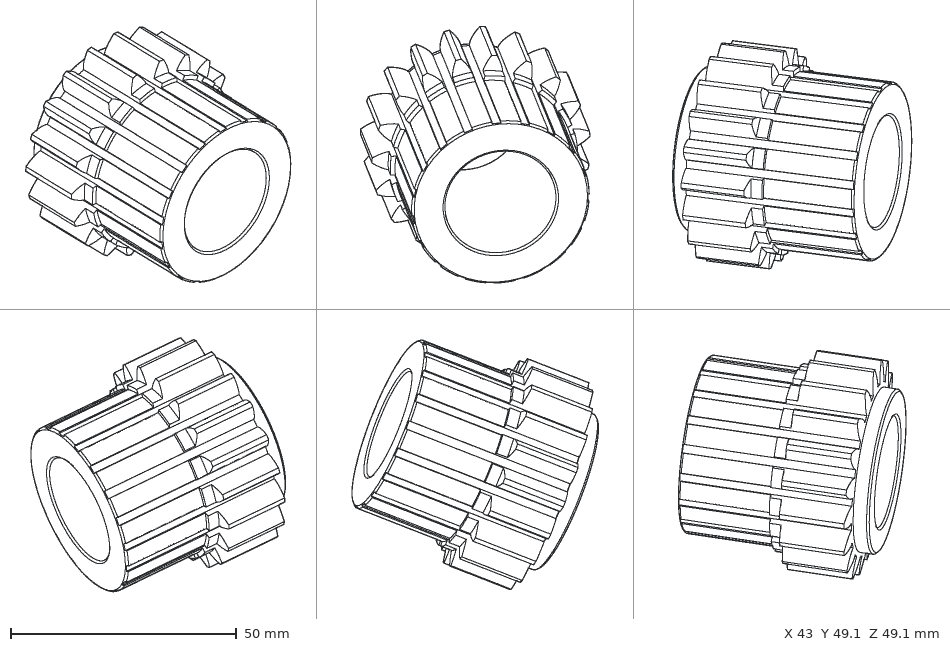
import cadquery as cq
import math

LENGTH = 43.0
FLANGE_WIDTH = 3.55
TOOTH_REAR_X = 18.95
COLLAR_REAR_X = 22.0
EDGE_CHAMFER = 0.5
CONE_ANGLE = 7.0

BORE_RADIUS = 25.0 / 2
FLANGE_RADIUS = 37.0 / 2
HUB_RADIUS = 20.0
COLLAR_RADIUS = 21.05

TOOTH_COUNT = 19
ROOT_RADIUS = 19.7
BASE_RADIUS = 20.1
FACET_END_RADIUS = 24.45
TIP_RADIUS = 24.6
BASE_HALF_ANGLE = 6.7
FIRST_TOOTH_ANGLE = 7.4
FLANK_FACETS = 8


def polar(radius, angle):
    """Point in the YZ plane; the angle is in radians from +Y towards +Z."""
    return radius * math.cos(angle), radius * math.sin(angle)


def roll_angle(radius):
    """Angle unrolled from the base circle to reach a radius on the involute; zero below that circle."""
    return math.sqrt(max((radius / BASE_RADIUS) ** 2 - 1, 0))


def half_angle(radius):
    """Half the angle that a tooth spans at a radius: involute, radial below the base circle."""
    roll = roll_angle(radius)
    return math.radians(BASE_HALF_ANGLE) - (roll - math.atan(roll))


def gear_prism():
    """Toothed bar over the whole length, with arcs on the roots and flat strips on the flanks."""
    roll_step = roll_angle(FACET_END_RADIUS) / FLANK_FACETS
    flank_radii = [ROOT_RADIUS]
    for facet in range(FLANK_FACETS + 1):
        flank_radii.append(BASE_RADIUS * math.hypot(1, facet * roll_step))
    flank_radii.append(TIP_RADIUS)
    pitch = 2 * math.pi / TOOTH_COUNT
    first = math.radians(FIRST_TOOTH_ANGLE)

    outline = cq.Workplane("YZ").moveTo(*polar(ROOT_RADIUS, first - half_angle(ROOT_RADIUS)))
    for tooth in range(TOOTH_COUNT):
        center = first + tooth * pitch
        for radius in flank_radii[1:]:
            outline = outline.lineTo(*polar(radius, center - half_angle(radius)))
        outline = outline.threePointArc(
            polar(TIP_RADIUS, center),
            polar(TIP_RADIUS, center + half_angle(TIP_RADIUS)),
        )
        for radius in reversed(flank_radii[:-1]):
            outline = outline.lineTo(*polar(radius, center + half_angle(radius)))
        outline = outline.threePointArc(
            polar(ROOT_RADIUS, center + pitch / 2),
            polar(ROOT_RADIUS, center + pitch - half_angle(ROOT_RADIUS)),
        )
    return outline.close().extrude(LENGTH)


def turned_blank():
    """Turned envelope: flange, coned tooth ends, collar, hub and a bore with chamfered mouths."""
    lean = math.tan(math.radians(CONE_ANGLE))
    tooth_front_x = FLANGE_WIDTH + (TIP_RADIUS - FLANGE_RADIUS) * lean
    collar_front_x = TOOTH_REAR_X + (TIP_RADIUS - COLLAR_RADIUS) * lean
    profile = [
        (0, BORE_RADIUS + EDGE_CHAMFER),
        (0, FLANGE_RADIUS - EDGE_CHAMFER),
        (EDGE_CHAMFER, FLANGE_RADIUS),
        (FLANGE_WIDTH, FLANGE_RADIUS),
        (tooth_front_x, TIP_RADIUS),
        (TOOTH_REAR_X, TIP_RADIUS),
        (collar_front_x, COLLAR_RADIUS),
        (COLLAR_REAR_X, COLLAR_RADIUS),
        (COLLAR_REAR_X, HUB_RADIUS),
        (LENGTH - EDGE_CHAMFER, HUB_RADIUS),
        (LENGTH, HUB_RADIUS - EDGE_CHAMFER),
        (LENGTH, BORE_RADIUS + EDGE_CHAMFER),
        (LENGTH - EDGE_CHAMFER, BORE_RADIUS),
        (EDGE_CHAMFER, BORE_RADIUS),
    ]
    return cq.Workplane("XY").polyline(profile).close().revolve(360, (0, 0, 0), (1, 0, 0))


result = turned_blank().intersect(gear_prism())